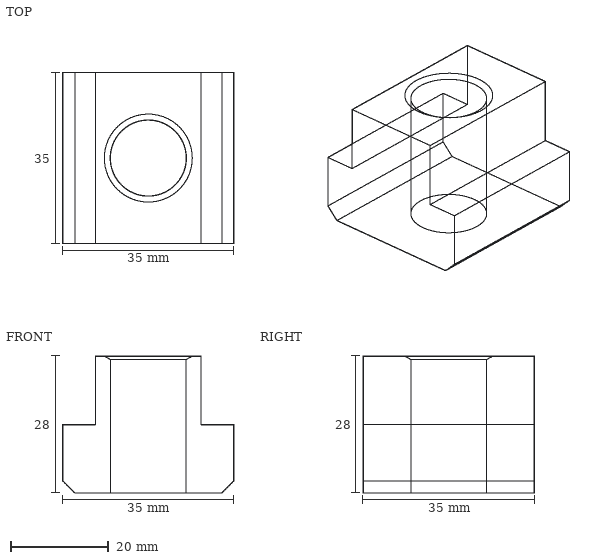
import cadquery as cq
import math

width = 35.0
length = 35.0
height = 28.0

base_height = height / 2
neck_width = 21.6
bottom_chamfer = 2.5

hole_diameter = 15.5
countersink_diameter = 18.0
countersink_angle = 120.0


def t_block():
    """T-shaped profile in XZ, extruded along Y and centred on the origin in plan."""
    half_width = width / 2
    half_neck = neck_width / 2
    right_half = [
        (half_width - bottom_chamfer, 0),
        (half_width, bottom_chamfer),
        (half_width, base_height),
        (half_neck, base_height),
        (half_neck, height),
    ]
    left_half = [(-x, z) for x, z in reversed(right_half)]
    profile = cq.Workplane("XZ").polyline(right_half + left_half).close()
    return profile.extrude(length / 2, both=True)


def countersunk_hole():
    """Revolved cutter: a straight bore opening into a cone at the top face."""
    bore_radius = hole_diameter / 2
    mouth_radius = countersink_diameter / 2
    cone_depth = (mouth_radius - bore_radius) / math.tan(math.radians(countersink_angle / 2))
    half_section = [
        (0, 0),
        (bore_radius, 0),
        (bore_radius, height - cone_depth),
        (mouth_radius, height),
        (0, height),
    ]
    return cq.Workplane("XZ").polyline(half_section).close().revolve(360, (0, 0), (0, 1))


result = t_block().cut(countersunk_hole())